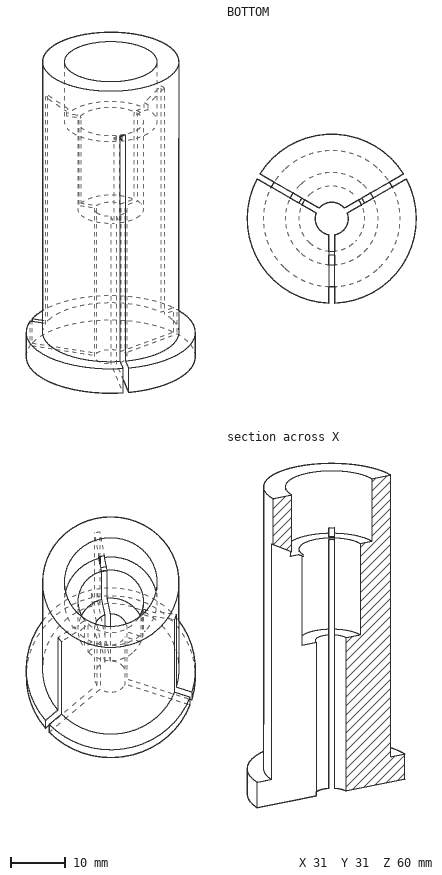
import cadquery as cq

total_height = 60.0
flange_diameter = 31.0
flange_height = 5.0
body_diameter = 25.0

wide_bore_diameter = 17.0
middle_bore_diameter = 12.0
hole_diameter = 6.0
shelf_height = 47.8
floor_height = total_height / 2

slot_count = 3
first_slot_angle = 90.0
slot_width = 1.0
slot_top = 51.0
slot_shelf_radius = 6.65

body_radius = body_diameter / 2
roof_slope = (slot_top - shelf_height) / (body_radius - slot_shelf_radius)


def cylinder(diameter, bottom, top):
    return cq.Workplane("XY").workplane(offset=bottom).circle(diameter / 2).extrude(top - bottom)


def roof_height(radius):
    """Height of the slot roof, which falls steadily toward the axis."""
    return slot_top - roof_slope * (body_radius - radius)


def slot_cutter(angle):
    """Radial blade from the axis out past the flange, with a sloping roof."""
    outer_radius = flange_diameter / 2 + slot_width
    profile = [
        (0, 0),
        (outer_radius, 0),
        (outer_radius, roof_height(outer_radius)),
        (0, roof_height(0)),
    ]
    blade = cq.Workplane("XZ").polyline(profile).close().extrude(slot_width / 2, both=True)
    return blade.rotate((0, 0, 0), (0, 0, 1), angle)


sleeve = cylinder(flange_diameter, 0, flange_height)
sleeve = sleeve.union(cylinder(body_diameter, flange_height, total_height))

sleeve = sleeve.cut(cylinder(hole_diameter, 0, total_height))
sleeve = sleeve.cut(cylinder(middle_bore_diameter, floor_height, total_height))
sleeve = sleeve.cut(cylinder(wide_bore_diameter, shelf_height, total_height))

for index in range(slot_count):
    sleeve = sleeve.cut(slot_cutter(first_slot_angle + index * 360 / slot_count))

result = sleeve